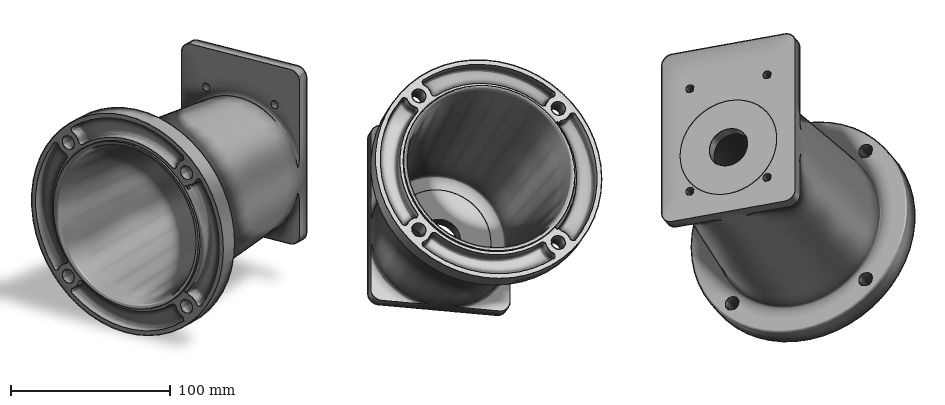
import cadquery as cq

LENGTH = 134.0

PLATE_HALF_WIDTH = 45.0
PLATE_TOP = 72.4
PLATE_BOTTOM = -PLATE_HALF_WIDTH
PLATE_THICKNESS = 8.0
PLATE_CORNER_RADIUS = 7.0
PLATE_HOLE_RADIUS = 2.6
PLATE_HOLE_X = 26.0
PLATE_HOLE_LOW_Z = -PLATE_HOLE_X
PLATE_HOLE_HIGH_Z = 46.0

FLANGE_RADIUS = 73.0
FLANGE_THICKNESS = 13.3
FLANGE_FILLET = 1.5
SPIGOT_RADIUS = 55.2
SPIGOT_HEIGHT = 1.8
BOLT_OFFSET = PLATE_HALF_WIDTH
BOLT_HOLE_RADIUS = 4.5
FLANGE_FRONT = LENGTH - SPIGOT_HEIGHT
FLANGE_BACK = FLANGE_FRONT - FLANGE_THICKNESS

CONE_BACK_RADIUS = PLATE_HALF_WIDTH
CONE_FLANGE_RADIUS = 54.9
CONE_SLOPE = (CONE_FLANGE_RADIUS - CONE_BACK_RADIUS) / FLANGE_BACK
WALL_THICKNESS = 3.5
CONE_FILLET = 1.2
PLATE_FILLET = 1.9
FLOOR_FILLET = 1.5
MOUTH_FILLET = 2.2

POCKET_OUTER_RADIUS = 70.0
POCKET_INNER_RADIUS = 57.2
POCKET_DEPTH = 8.0
POCKET_CORNER_RADIUS = 2.0
POCKET_FILLET = 1.9
BOSS_RADIUS = 8.2
LAND_HALF_ANGLE = 39.0

DISC_RADIUS = 32.5
SHAFT_HOLE_RADIUS = 12.8


def cylinder(radius, start, end, x=0.0, z=0.0):
    """Solid cylinder along Y between two stations."""
    return cq.Workplane("XZ", origin=(0, -start, 0)).center(x, z).circle(radius).extrude(end - start)


def turned(profile):
    """Solid of revolution about Y from (radius, station, corner rounding) points."""
    corners = [cq.Vector(radius, -station, 0) for radius, station, _ in profile]
    face = cq.Face.makeFromWires(cq.Wire.makePolygon(corners, close=True))
    for corner, (_, _, rounding) in zip(corners, profile):
        if rounding:
            vertex = min(face.Vertices(), key=lambda v: (v.Center() - corner).Length)
            face = face.fillet2D(rounding, [vertex])
    return cq.Workplane(cq.Solid.revolve(face, 360, cq.Vector(0, 0, 0), cq.Vector(0, 1, 0)))


def cone_radius(station):
    return CONE_BACK_RADIUS + CONE_SLOPE * station


def bore_radius(station):
    return cone_radius(station) - WALL_THICKNESS


def shell_body():
    """Cone, flange, spigot and tapered bore as one turned shape; the floor is as thick as the plate."""
    return turned([
        (0, 0, 0),
        (CONE_BACK_RADIUS, 0, 0),
        (CONE_FLANGE_RADIUS, FLANGE_BACK, CONE_FILLET),
        (FLANGE_RADIUS, FLANGE_BACK, FLANGE_FILLET),
        (FLANGE_RADIUS, FLANGE_FRONT, 0),
        (SPIGOT_RADIUS, FLANGE_FRONT, 0),
        (SPIGOT_RADIUS, LENGTH, 0),
        (bore_radius(LENGTH), LENGTH, MOUTH_FILLET),
        (bore_radius(PLATE_THICKNESS), PLATE_THICKNESS, FLOOR_FILLET),
        (0, PLATE_THICKNESS, 0),
    ])


def mounting_plate():
    """Round-cornered plate with the fillet that blends it into the cone, trimmed to its outline.

    Its middle is left open to mid-wall, where the floor of the shell fills it.
    """
    collar_end = PLATE_THICKNESS + 2 * PLATE_FILLET
    cover_radius = 2 * PLATE_TOP
    mid_wall_radius = CONE_BACK_RADIUS - WALL_THICKNESS / 2
    collar = turned([
        (mid_wall_radius, 0, 0),
        (cover_radius, 0, 0),
        (cover_radius, PLATE_THICKNESS, 0),
        (cone_radius(PLATE_THICKNESS), PLATE_THICKNESS, PLATE_FILLET),
        (cone_radius(collar_end), collar_end, 0),
        (mid_wall_radius, collar_end, 0),
    ])
    outline = (
        cq.Workplane("XZ")
        .center(0, (PLATE_TOP + PLATE_BOTTOM) / 2)
        .rect(2 * PLATE_HALF_WIDTH, PLATE_TOP - PLATE_BOTTOM)
        .extrude(collar_end)
        .edges("|Y")
        .fillet(PLATE_CORNER_RADIUS)
    )
    return collar.intersect(outline)


def pocket():
    """+X pocket: a ring sector with rounded edges, whose ends curve around the bolt bosses."""
    floor = FLANGE_FRONT - POCKET_DEPTH
    ring = cylinder(POCKET_OUTER_RADIUS, floor, FLANGE_FRONT)
    ring = ring.cut(cylinder(POCKET_INNER_RADIUS, floor, FLANGE_FRONT))
    sector = (
        cq.Workplane("XZ")
        .polyline([(0, 0), (FLANGE_RADIUS, FLANGE_RADIUS), (FLANGE_RADIUS, -FLANGE_RADIUS)])
        .close()
        .extrude(LENGTH)
    )
    blank = ring.intersect(sector)
    for side in (1, -1):
        blank = blank.cut(cylinder(BOSS_RADIUS, floor, FLANGE_FRONT, BOLT_OFFSET, side * BOLT_OFFSET))
    between_bosses = cq.Workplane(max(blank.solids().vals(), key=lambda solid: solid.Volume()))
    rounded = between_bosses.edges("|Y").fillet(POCKET_CORNER_RADIUS)
    return rounded.faces(">Y").edges().fillet(POCKET_FILLET)


def land_rounding():
    """What is removed to round the land between the spigot and the +X pocket."""
    land_width = POCKET_INNER_RADIUS - SPIGOT_RADIUS
    profile = (
        cq.Workplane("XY")
        .moveTo(SPIGOT_RADIUS, -FLANGE_FRONT)
        .lineTo(POCKET_INNER_RADIUS, -FLANGE_FRONT)
        .lineTo(POCKET_INNER_RADIUS, land_width - FLANGE_FRONT)
        .radiusArc((SPIGOT_RADIUS, -FLANGE_FRONT), land_width)
        .close()
    )
    swept = profile.revolve(2 * LAND_HALF_ANGLE, (0, 0, 0), (0, 1, 0))
    return swept.rotate((0, 0, 0), (0, 1, 0), -LAND_HALF_ANGLE)


def make_housing():
    body = shell_body().union(mounting_plate())
    for angle in (0, 90, 180, 270):
        body = body.cut(pocket().rotate((0, 0, 0), (0, 1, 0), angle))
    body = body.cut(land_rounding())
    for side in (1, -1):
        for z in (BOLT_OFFSET, -BOLT_OFFSET):
            body = body.cut(cylinder(BOLT_HOLE_RADIUS, FLANGE_BACK, FLANGE_FRONT, side * BOLT_OFFSET, z))
        for z in (PLATE_HOLE_HIGH_Z, PLATE_HOLE_LOW_Z):
            body = body.cut(cylinder(PLATE_HOLE_RADIUS, 0, PLATE_THICKNESS, side * PLATE_HOLE_X, z))
    return body.cut(cylinder(DISC_RADIUS, 0, PLATE_THICKNESS))


def make_disc():
    disc = cylinder(DISC_RADIUS, 0, PLATE_THICKNESS)
    return disc.cut(cylinder(SHAFT_HOLE_RADIUS, 0, PLATE_THICKNESS))


housing = make_housing()
hub_disc = make_disc()
result = cq.Compound.makeCompound([housing.val(), hub_disc.val()])